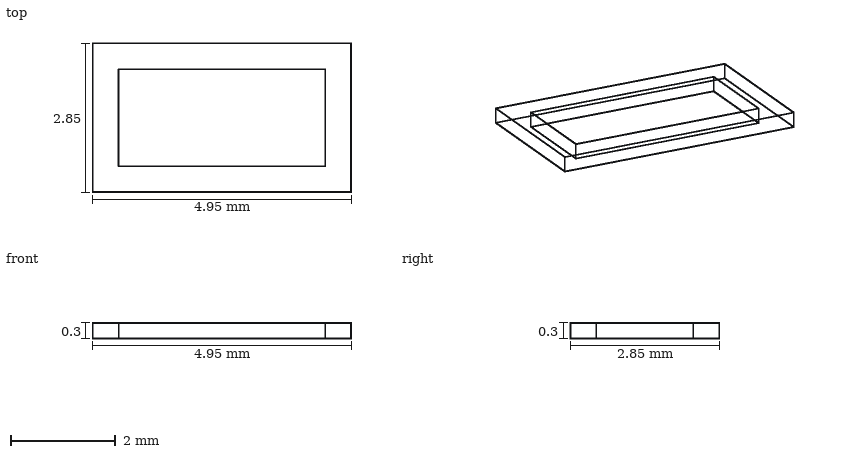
import cadquery as cq

length = 4.95
width = 2.85
thickness = 0.3

border = 0.5

opening_length = length - 2 * border
opening_width = width - 2 * border

result = (
    cq.Workplane("XY")
    .rect(length, width)
    .rect(opening_length, opening_width)
    .extrude(thickness)
)